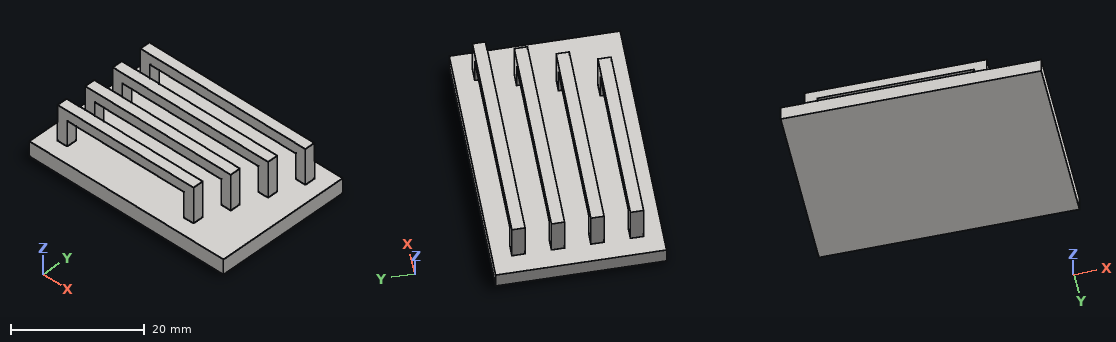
import cadquery as cq

base_length = 40.0
base_width = 26.0
base_thickness = 3.0

bridge_count = 4
bar_size = 2.0
bridge_height = 7.0
shortest_bridge = 28.0
length_step = 2.0
edge_margin = 3.0
bridge_pitch = (base_width - 2 * edge_margin - bar_size) / (bridge_count - 1)


def make_base():
    return cq.Workplane("XY").box(base_length, base_width, base_thickness, centered=False)


def make_bridge(length, front_y):
    """Two legs joined by a top bar, standing on the base."""
    block = cq.Workplane("XY").box(length, bar_size, bridge_height, centered=False)
    opening = (
        cq.Workplane("XY")
        .box(length - 2 * bar_size, bar_size, bridge_height - bar_size, centered=False)
        .translate((bar_size, 0, 0))
    )
    return block.cut(opening).translate((edge_margin, front_y, base_thickness))


result = make_base()
for index in range(bridge_count):
    bridge_length = shortest_bridge + index * length_step
    bridge_front = edge_margin + index * bridge_pitch
    result = result.union(make_bridge(bridge_length, bridge_front))